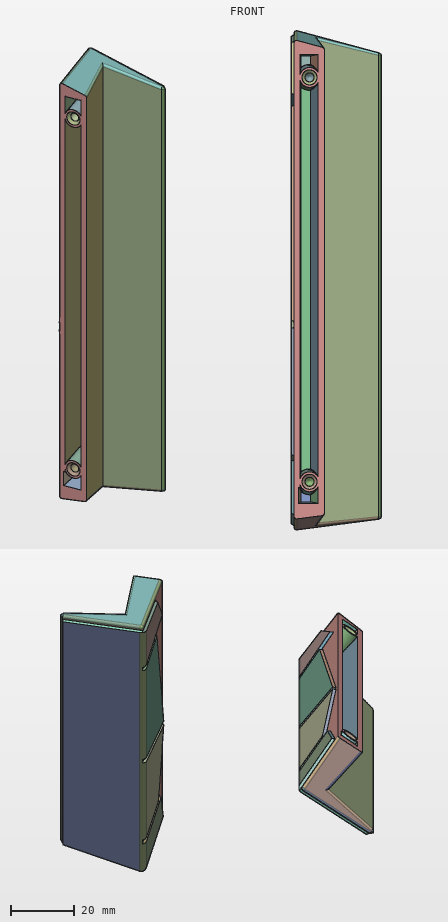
import cadquery as cq
import math

LENGTH = 157.8
WIDTH = 28.5
DEPTH = 21.1

PANEL_HEIGHT = 1.0
CORE_LEFT = PANEL_HEIGHT
CORE_BACK = DEPTH - PANEL_HEIGHT
LEG_FRONT_X = 10.5
INNER_X, INNER_Y = 8.4, 15.5
TIP_FRONT_Y = 18.3
TIP_BEVEL = 1.0
CORNER_RADIUS = 1.0
RIM_RADIUS = 0.8

TOP_SLOPE_X, TOP_SLOPE_Y = 0.27, 0.16
BOTTOM_SLOPE_X, BOTTOM_SLOPE_Y = 0.13, 0.18
END_ROUNDING = 0.33

PANEL_END_INSET = 1.4
PANEL_CORNER_RADIUS = 1.7
PANEL_TIP_GAP = 1.4
PANEL_DRAFT = 0.5
PANEL_BACK = DEPTH + 2 * PANEL_DRAFT
TOP_PANEL_CORNER_Y = 7.4
BOTTOM_PANEL_CORNER_Y = 1.4

BEYOND = 7.9
END_REACH = 39.5

SLOT_LEFT, SLOT_RIGHT = 2.8, 8.5
SLOT_BOTTOM, SLOT_TOP = 8.4, 150.2
SLOT_DEPTH = 14.2
SLOT_DRAFT = 0.5
FLOOR_LEFT, FLOOR_RIGHT = 3.2, 6.2
STEP_LEFT, STEP_TOP = 2.4, 13.4

SCREW_X = 5.8
SCREW_HEIGHTS = (15.1, 143.0)
BOSS_FRONT_RADIUS, BOSS_BASE_RADIUS = 3.2, 4.1
HOLE_RADIUS, HOLE_DEPTH = 1.4, 9.5
SINK_RADIUS, SINK_DEPTH = 2.4, 1.0


def end_cutter(height, slope_x, slope_y, reach):
    """Block beyond a sloped end; `height` is the end at the back left core corner."""
    right = WIDTH + BEYOND
    back = DEPTH + BEYOND

    def end_z(x, y):
        return height + slope_x * (CORE_LEFT - x) + slope_y * (y - CORE_BACK)

    corners = [(-BEYOND, -BEYOND), (right, -BEYOND), (right, back), (-BEYOND, back)]
    sloped = [cq.Vector(x, y, end_z(x, y)) for x, y in corners]
    face = cq.Face.makeFromWires(cq.Wire.makePolygon(sloped, close=True))
    return cq.Workplane(cq.Solid.extrudeLinear(face, cq.Vector(0, 0, reach)))


def trim_ends(body, inset):
    """Cut both sloped ends, moved inward by `inset`."""
    body = body.cut(end_cutter(LENGTH - inset, TOP_SLOPE_X, TOP_SLOPE_Y, END_REACH))
    return body.cut(end_cutter(inset, -BOTTOM_SLOPE_X, -BOTTOM_SLOPE_Y, -END_REACH))


def column(points):
    """Upright prism longer than the part at both ends."""
    return (
        cq.Workplane("XY", origin=(0, 0, -BEYOND))
        .polyline(points)
        .close()
        .extrude(LENGTH + 2 * BEYOND)
    )


CORE_OUTLINE = [
    (CORE_LEFT, 0),
    (LEG_FRONT_X, 0),
    (INNER_X, INNER_Y),
    (WIDTH - TIP_BEVEL, TIP_FRONT_Y),
    (WIDTH, CORE_BACK - TIP_BEVEL),
    (WIDTH - TIP_BEVEL, CORE_BACK),
    (CORE_LEFT, CORE_BACK),
]


def core_column():
    return column(CORE_OUTLINE).edges("|Z and <X and >Y").fillet(CORNER_RADIUS)


def make_core():
    """L-shaped core with rounded end rims; the front edges of the leg stay sharp."""
    core = trim_ends(core_column(), -END_ROUNDING)
    return core.faces(">Z or <Z").edges("not(<Y)").fillet(RIM_RADIUS)


def panel_top(y):
    """Height of the upper panel edge on the left face of the core."""
    return LENGTH - PANEL_END_INSET + TOP_SLOPE_Y * (y - CORE_BACK)


def panel_bottom(y):
    """Height of the lower panel edge on the left face of the core."""
    return PANEL_END_INSET - BOTTOM_SLOPE_Y * (y - CORE_BACK)


LEFT_PANELS = [
    [
        (PANEL_BACK, 132.9),
        (PANEL_BACK, panel_top(PANEL_BACK)),
        (TOP_PANEL_CORNER_Y, panel_top(TOP_PANEL_CORNER_Y)),
        (2.4, 137.6),
    ],
    [(PANEL_BACK, 74.0), (PANEL_BACK, 131.5), (8.2, 134.3), (1.0, 65.6)],
    [(PANEL_BACK, 21.0), (PANEL_BACK, 72.5), (1.0, 63.9), (6.6, 23.4)],
    [
        (PANEL_BACK, panel_bottom(PANEL_BACK)),
        (PANEL_BACK, 19.1),
        (4.0, 22.1),
        (BOTTOM_PANEL_CORNER_Y, panel_bottom(BOTTOM_PANEL_CORNER_Y)),
    ],
]


def make_left_areas():
    """Drafted panel shapes standing on the left face of the core."""
    draft = math.degrees(math.atan(PANEL_DRAFT / PANEL_HEIGHT))
    areas = cq.Workplane("YZ")
    for outline in LEFT_PANELS:
        sketch = cq.Workplane("YZ", origin=(CORE_LEFT, 0, 0)).polyline(outline).close()
        areas = areas.add(sketch.extrude(-PANEL_HEIGHT, taper=draft))
    return areas.combine()


def make_panels():
    """Plain back panel and the left panels, sharing a rounded back left edge."""
    back_panel = column([
        (CORE_LEFT, CORE_BACK),
        (WIDTH - TIP_BEVEL, CORE_BACK),
        (WIDTH - PANEL_TIP_GAP, DEPTH),
        (CORE_LEFT, DEPTH),
    ])
    envelope = column([(0, 0), (WIDTH, 0), (WIDTH, DEPTH), (0, DEPTH)])
    envelope = envelope.edges("|Z and <X and >Y").fillet(PANEL_CORNER_RADIUS)
    envelope = trim_ends(envelope, PANEL_END_INSET)
    return envelope.intersect(back_panel.union(make_left_areas()))


def rectangle(left, right, bottom, top):
    return [(left, bottom), (right, bottom), (right, top), (left, top)]


def slot_prism(left, top):
    """Pocket narrowing from the front face to its floor."""
    front = rectangle(left, SLOT_RIGHT, SLOT_BOTTOM, top)
    floor = rectangle(FLOOR_LEFT, FLOOR_RIGHT, SLOT_BOTTOM + SLOT_DRAFT, top - SLOT_DRAFT)
    return (
        cq.Workplane("XZ")
        .polyline(front)
        .close()
        .workplane(offset=-SLOT_DEPTH)
        .polyline(floor)
        .close()
        .loft(ruled=True)
    )


def turned(profile, height):
    """Solid of revolution about a screw axis; profile points are (radius, depth)."""
    body = cq.Workplane("XY").polyline(profile).close().revolve(360, (0, 0, 0), (0, 1, 0))
    return body.translate((SCREW_X, 0, height))


BOSS_PROFILE = [(0, 0), (BOSS_FRONT_RADIUS, 0), (BOSS_BASE_RADIUS, SLOT_DEPTH), (0, SLOT_DEPTH)]
HOLE_PROFILE = [
    (0, 0),
    (SINK_RADIUS, 0),
    (HOLE_RADIUS, SINK_DEPTH),
    (HOLE_RADIUS, HOLE_DEPTH),
    (0, HOLE_DEPTH + HOLE_RADIUS),
]


def make_slot():
    """Full slot and its wider bottom end, with the bosses left standing."""
    slot = slot_prism(SLOT_LEFT, SLOT_TOP).union(slot_prism(STEP_LEFT, STEP_TOP))
    for height in SCREW_HEIGHTS:
        slot = slot.cut(turned(BOSS_PROFILE, height))
    return slot


result = make_core().cut(make_slot()).union(make_panels())
for height in SCREW_HEIGHTS:
    result = result.cut(turned(HOLE_PROFILE, height))